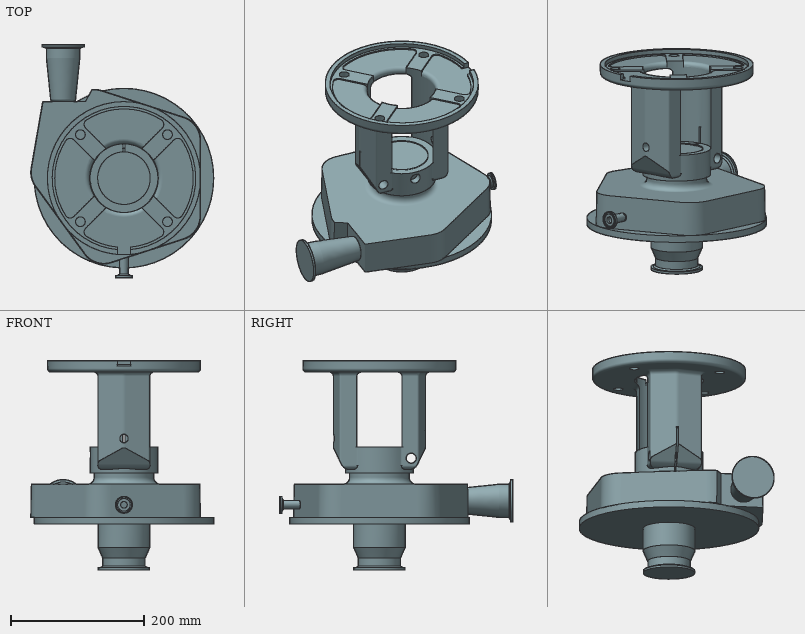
import cadquery as cq
import math

BASE_BOTTOM = 69.0
BASE_TOP = 79.0
HOUSING_TOP = 129.0
NECK_BLEND_TOP = 139.0
COLLAR_BOTTOM = 145.5
COLLAR_TOP = 185.2
FLANGE_BOTTOM = 297.5
TOTAL_HEIGHT = 314.5

MARGIN = 1.0

BASE_RADIUS = 135.0
HOUSING_APOTHEM = 115.0
HOUSING_DRAFT = 1.0
HOUSING_CORNER_RADIUS = 35.0
HOUSING_TOP_Y = 133.4
OUTLET_FACE_Y = 115.0
NOTCH_ROOT_X = -57.8
NOTCH_WALL_ANGLE = 62.0
OUTLET_CORNER_RADIUS = 2.0
OUTLET_WALL_TILT = 9.8

NECK_RADIUS = 45.0
COLLAR_RADIUS = 51.0
COLLAR_BORE_RADIUS = 39.5
LANTERN_BORE_RADIUS = 51.6
SHAFT_RECESS_DEPTH = 1.5
COLLAR_HOLE_RADIUS = 7.7
COLLAR_HOLE_Z = 173.3

LEG_HALF_WIDTH = 39.0
LEG_APEX_Y = 69.7
LEG_FACE_TILT = 15.0
LEG_RIDGE_RADIUS = 10.0
LEG_EDGE_RADIUS = 3.0
LEG_BOTTOM = 151.0
LEG_BOTTOM_RADIUS = 6.0
LEG_TOE_RADIUS = 14.0
LEG_SLOPE_TOP = 184.4
LEG_SLOPE_ANGLE = 64.0
LEG_BLEND_RADIUS = 6.5
COLLAR_BLEND_RADIUS = 3.0
RIDGE_HOLE_RADIUS = 6.3
RIDGE_HOLE_Z = 197.5
CLAMP_HOLE_RADIUS = 7.4
CLAMP_HOLE_Y = 47.7
CLAMP_HOLE_Z = 168.0
SLIT_WIDTH = 3.0
SLIT_TOP = 210.0

FLANGE_RADIUS = 115.0
FLANGE_EDGE_RADIUS = 5.0
SPIGOT_RADIUS = 107.8
SPIGOT_DEPTH = 6.0
POCKET_RADIUS = 104.0
POCKET_DEPTH = 2.0
POCKET_CORNER_RADIUS = 8.0
POCKET_LIP_RADIUS = 7.0
ARM_WIDTH = 25.0
BOLT_CIRCLE_RADIUS = 92.5
BOLT_HOLE_RADIUS = 7.3
FLANGE_NOTCH_WIDTH = 20.0
SPIGOT_FLOOR = TOTAL_HEIGHT - SPIGOT_DEPTH
POCKET_FLOOR = SPIGOT_FLOOR - POCKET_DEPTH

INLET_TUBE_RADIUS = 39.0
INLET_TUBE_BOTTOM = 34.0
INLET_CONE_BOTTOM = 18.0
INLET_PIPE_RADIUS = 32.0
INLET_FERRULE_RADIUS = 38.7

OUTLET_X = -91.4
OUTLET_Z = (BASE_TOP + HOUSING_TOP) / 2
OUTLET_END_Y = 200.5
OUTLET_CONE_END_Y = 180.0
OUTLET_CONE_START_Y = 119.5
OUTLET_PIPE_RADIUS = 25.2
OUTLET_NECK_RADIUS = 19.0
OUTLET_ROUND_RADIUS = 4.0
OUTLET_ROOT_OVERLAP = 5.0
OUTLET_FERRULE_RADIUS = 32.0

DRAIN_Z = 98.0
DRAIN_END_Y = -150.0
DRAIN_PIPE_RADIUS = 6.5
DRAIN_FERRULE_RADIUS = 12.8
DRAIN_BORE_RADIUS = 5.0
DRAIN_BORE_DEPTH = 40.0
DRAIN_ROOT_Y = -105.0
GROOVE_INNER_RADIUS = 9.5
GROOVE_OUTER_RADIUS = 11.5
GROOVE_DEPTH = 1.0

FERRULE_RIM = 3.5
FERRULE_LENGTH = 6.0
FERRULE_SHOULDER = 3.0
FERRULE_BACK_RISE = 0.5


def cylinder(radius, bottom, top):
    """Cylinder on the pump axis."""
    return cq.Workplane("XY").workplane(offset=bottom).circle(radius).extrude(top - bottom)


def ferrule(pipe_radius, ferrule_radius, root_points, root_end):
    """Revolved pipe stub along +Z with a clamp ferrule whose face is at zero.

    root_points are (radius, distance) pairs continuing the outside beyond the ferrule.
    """
    outside = [
        (ferrule_radius, 0),
        (ferrule_radius, FERRULE_RIM),
        (pipe_radius + FERRULE_SHOULDER, FERRULE_RIM + FERRULE_BACK_RISE),
        (pipe_radius, FERRULE_LENGTH),
    ]
    profile = [(0, 0)] + outside + root_points + [(0, root_end)]
    return cq.Workplane("XZ").polyline(profile).close().revolve(360, (0, 0, 0), (0, 1, 0))


def pentagon_corner(angle):
    reach = HOUSING_APOTHEM / math.cos(math.radians(36))
    return (reach * math.cos(math.radians(angle)), reach * math.sin(math.radians(angle)))


def make_base():
    return cylinder(BASE_RADIUS, BASE_BOTTOM, BASE_TOP)


def round_upright_edge(housing, x, y, radius):
    """Round the upright housing edge that stands closest to a plan position."""
    nearest = cq.selectors.NearestToPointSelector((x, y, (BASE_TOP + HOUSING_TOP) / 2))
    return housing.edges("not(#Z)").edges(nearest).fillet(radius)


def make_housing():
    """Drafted pentagon, squared off at the upper left and notched there for the outlet."""
    left = pentagon_corner(180)
    wall_slope = math.tan(math.radians(OUTLET_WALL_TILT))
    apex = pentagon_corner(108)
    side_run = (apex[1] - HOUSING_TOP_Y) / math.tan(math.radians(18))
    rounded_corners = [
        (apex[0] + side_run, HOUSING_TOP_Y),
        pentagon_corner(36),
        pentagon_corner(-36),
        pentagon_corner(-108),
        left,
    ]
    square_corner = (left[0] + HOUSING_TOP_Y * wall_slope, HOUSING_TOP_Y)
    housing = (
        cq.Workplane("XY").workplane(offset=BASE_TOP)
        .polyline([square_corner] + rounded_corners).close()
        .extrude(HOUSING_TOP - BASE_TOP, taper=HOUSING_DRAFT)
    )
    for x, y in rounded_corners:
        housing = round_upright_edge(housing, x, y, HOUSING_CORNER_RADIUS)

    notch_height = BASE_RADIUS - OUTLET_FACE_Y
    notch_run = notch_height / math.tan(math.radians(NOTCH_WALL_ANGLE))
    notch = (
        cq.Workplane("XY").workplane(offset=BASE_TOP)
        .polyline([
            (-BASE_RADIUS, OUTLET_FACE_Y), (NOTCH_ROOT_X, OUTLET_FACE_Y),
            (NOTCH_ROOT_X + notch_run, BASE_RADIUS), (-BASE_RADIUS, BASE_RADIUS),
        ])
        .close().extrude(HOUSING_TOP - BASE_TOP)
    )
    wall_x = left[0] + OUTLET_FACE_Y * wall_slope
    return round_upright_edge(housing.cut(notch), wall_x, OUTLET_FACE_Y, OUTLET_CORNER_RADIUS)


def make_neck():
    blend = NECK_BLEND_TOP - HOUSING_TOP
    middle = blend * (1 - math.sqrt(0.5))
    profile = (
        cq.Workplane("XZ")
        .moveTo(0, HOUSING_TOP)
        .lineTo(NECK_RADIUS + blend, HOUSING_TOP)
        .threePointArc((NECK_RADIUS + middle, HOUSING_TOP + middle), (NECK_RADIUS, NECK_BLEND_TOP))
        .lineTo(NECK_RADIUS, COLLAR_BOTTOM)
        .lineTo(0, COLLAR_BOTTOM)
        .close()
    )
    return profile.revolve(360, (0, 0, 0), (0, 1, 0))


def make_leg_block():
    """Solid bar spanning both legs; the lantern bore later splits it into two legs."""
    side_y = LEG_APEX_Y - LEG_HALF_WIDTH * math.tan(math.radians(LEG_FACE_TILT))
    block = (
        cq.Workplane("XY").workplane(offset=LEG_BOTTOM)
        .polyline([
            (-LEG_HALF_WIDTH, -side_y), (0, -LEG_APEX_Y), (LEG_HALF_WIDTH, -side_y),
            (LEG_HALF_WIDTH, side_y), (0, LEG_APEX_Y), (-LEG_HALF_WIDTH, side_y),
        ])
        .close().extrude(FLANGE_BOTTOM - LEG_BOTTOM)
    )
    block = block.edges("|Z").edges(">Y or <Y").fillet(LEG_RIDGE_RADIUS)
    block = block.edges("|Z").edges(">X or <X").fillet(LEG_EDGE_RADIUS)
    toe_y = LEG_APEX_Y - (LEG_SLOPE_TOP - LEG_BOTTOM) / math.tan(math.radians(LEG_SLOPE_ANGLE))
    side_shape = (
        cq.Workplane("YZ")
        .polyline([
            (-toe_y, LEG_BOTTOM), (toe_y, LEG_BOTTOM), (LEG_APEX_Y, LEG_SLOPE_TOP),
            (LEG_APEX_Y, FLANGE_BOTTOM), (-LEG_APEX_Y, FLANGE_BOTTOM), (-LEG_APEX_Y, LEG_SLOPE_TOP),
        ])
        .close().extrude(LEG_HALF_WIDTH, both=True)
        .faces("<Z").edges("|X").fillet(LEG_TOE_RADIUS)
    )
    front_shape = (
        cq.Workplane("XZ")
        .rect(2 * LEG_HALF_WIDTH, 2 * (FLANGE_BOTTOM - LEG_BOTTOM))
        .extrude(LEG_APEX_Y, both=True).translate((0, 0, FLANGE_BOTTOM))
        .faces("<Z").edges("|Y").fillet(LEG_BOTTOM_RADIUS)
    )
    return block.intersect(side_shape).intersect(front_shape)


def make_collar_blend():
    """Rounded inside corners where the leg sides run into the collar."""
    bottom = LEG_BOTTOM + LEG_BOTTOM_RADIUS
    height = COLLAR_TOP - bottom
    bar = cq.Workplane("XY").box(
        2 * LEG_HALF_WIDTH, 2 * CLAMP_HOLE_Y, height, centered=(True, True, False)
    ).translate((0, 0, bottom))
    joined = cylinder(COLLAR_RADIUS, bottom, COLLAR_TOP).union(bar)
    reach = LEG_HALF_WIDTH + MARGIN
    inside_corners = cq.selectors.BoxSelector((-reach, -reach, bottom), (reach, reach, COLLAR_TOP))
    corner_edges = joined.edges("|Z").edges(inside_corners)
    return corner_edges.fillet(COLLAR_BLEND_RADIUS)


def make_lantern():
    """Motor flange with the leg block blended into its underside."""
    flange = cylinder(FLANGE_RADIUS, FLANGE_BOTTOM, TOTAL_HEIGHT)
    flange = flange.faces("<Z").edges().fillet(FLANGE_EDGE_RADIUS)
    lantern = flange.union(make_leg_block())
    reach = LEG_APEX_Y + MARGIN
    near_legs = cq.selectors.BoxSelector(
        (-reach, -reach, FLANGE_BOTTOM - MARGIN), (reach, reach, FLANGE_BOTTOM + MARGIN))
    lantern = lantern.edges(near_legs).fillet(LEG_BLEND_RADIUS)
    collar = cylinder(COLLAR_RADIUS, COLLAR_BOTTOM, COLLAR_TOP)
    lantern = lantern.union(collar)
    lantern = lantern.union(make_collar_blend())
    return lantern.cut(cylinder(LANTERN_BORE_RADIUS, COLLAR_TOP, TOTAL_HEIGHT))


def sector_prism(bottom, top):
    """Region between the two flange arms on the +Y side, out to the pocket radius."""
    apex = ARM_WIDTH / 2 * math.sqrt(2)
    far_y = apex + POCKET_RADIUS
    wedge = (
        cq.Workplane("XY").workplane(offset=bottom)
        .polyline([(0, apex), (POCKET_RADIUS, far_y), (-POCKET_RADIUS, far_y)])
        .close().extrude(top - bottom)
    )
    return wedge.intersect(cylinder(POCKET_RADIUS, bottom, top))


def cut_flange_top(body):
    body = body.cut(cylinder(SPIGOT_RADIUS, SPIGOT_FLOOR, TOTAL_HEIGHT))
    lip_bottom = POCKET_FLOOR - POCKET_LIP_RADIUS
    lip_outer = LANTERN_BORE_RADIUS + POCKET_LIP_RADIUS
    arc_offset = POCKET_LIP_RADIUS * math.sqrt(0.5)
    lip = (
        cq.Workplane("XZ")
        .moveTo(0, lip_bottom)
        .lineTo(LANTERN_BORE_RADIUS, lip_bottom)
        .threePointArc((lip_outer - arc_offset, lip_bottom + arc_offset), (lip_outer, POCKET_FLOOR))
        .lineTo(0, POCKET_FLOOR)
        .close().revolve(360, (0, 0, 0), (0, 1, 0))
    )
    pocket = sector_prism(POCKET_FLOOR, SPIGOT_FLOOR)
    pocket = pocket.edges("|Z").edges(">X or <X").fillet(POCKET_CORNER_RADIUS)
    pocket = pocket.union(lip.intersect(sector_prism(lip_bottom, POCKET_FLOOR)))
    for turn in (0, 90, 180, 270):
        body = body.cut(pocket.rotate((0, 0, 0), (0, 0, 1), turn))
    bolt_holes = (
        cq.Workplane("XY").workplane(offset=FLANGE_BOTTOM)
        .polarArray(BOLT_CIRCLE_RADIUS, 45, 360, 4)
        .circle(BOLT_HOLE_RADIUS).extrude(TOTAL_HEIGHT - FLANGE_BOTTOM)
    )
    notch_length = FLANGE_RADIUS - POCKET_RADIUS + MARGIN
    notch = cq.Workplane("XY").box(
        FLANGE_NOTCH_WIDTH, notch_length, TOTAL_HEIGHT - POCKET_FLOOR, centered=(True, False, False)
    ).translate((0, -FLANGE_RADIUS, POCKET_FLOOR))
    return body.cut(bolt_holes).cut(notch)


def cut_collar_and_legs(body):
    body = body.cut(cylinder(COLLAR_BORE_RADIUS, COLLAR_TOP - SHAFT_RECESS_DEPTH, COLLAR_TOP))
    slit = cq.Workplane("XY").box(
        SLIT_WIDTH, LEG_APEX_Y - COLLAR_BORE_RADIUS, SLIT_TOP - COLLAR_BOTTOM,
        centered=(True, False, False),
    ).translate((0, COLLAR_BORE_RADIUS, COLLAR_BOTTOM))
    ridge_hole = (
        cq.Workplane("XZ").center(0, RIDGE_HOLE_Z).circle(RIDGE_HOLE_RADIUS).extrude(LEG_APEX_Y)
    )
    clamp_hole = (
        cq.Workplane("YZ").center(CLAMP_HOLE_Y, CLAMP_HOLE_Z)
        .circle(CLAMP_HOLE_RADIUS).extrude(LEG_HALF_WIDTH + MARGIN, both=True)
    )
    collar_hole = (
        cq.Workplane("YZ").workplane(offset=-COLLAR_RADIUS).center(0, COLLAR_HOLE_Z)
        .circle(COLLAR_HOLE_RADIUS).extrude(COLLAR_RADIUS - COLLAR_BORE_RADIUS)
    )
    return body.cut(slit).cut(ridge_hole).cut(clamp_hole).cut(collar_hole)


def make_inlet():
    outside = [
        (INLET_PIPE_RADIUS, INLET_CONE_BOTTOM),
        (INLET_TUBE_RADIUS, INLET_TUBE_BOTTOM),
        (INLET_TUBE_RADIUS, BASE_BOTTOM),
    ]
    return ferrule(INLET_PIPE_RADIUS, INLET_FERRULE_RADIUS, outside, BASE_BOTTOM)


def make_outlet():
    tip = OUTLET_END_Y - OUTLET_FACE_Y
    outside = [
        (OUTLET_PIPE_RADIUS, OUTLET_END_Y - OUTLET_CONE_END_Y),
        (OUTLET_NECK_RADIUS, OUTLET_END_Y - OUTLET_CONE_START_Y),
        (OUTLET_NECK_RADIUS, tip),
    ]
    nozzle = ferrule(OUTLET_PIPE_RADIUS, OUTLET_FERRULE_RADIUS, outside, tip)
    nozzle = nozzle.faces(">Z").edges().fillet(OUTLET_ROUND_RADIUS)
    root_radius = OUTLET_NECK_RADIUS - OUTLET_ROUND_RADIUS
    root = cq.Workplane("XY").circle(root_radius).extrude(tip + OUTLET_ROOT_OVERLAP)
    nozzle = nozzle.union(root)
    return nozzle.rotate((0, 0, 0), (1, 0, 0), 90).translate((OUTLET_X, OUTLET_END_Y, OUTLET_Z))


def make_drain():
    length = DRAIN_ROOT_Y - DRAIN_END_Y
    drain = ferrule(DRAIN_PIPE_RADIUS, DRAIN_FERRULE_RADIUS, [(DRAIN_PIPE_RADIUS, length)], length)
    bore = cq.Workplane("XY").circle(DRAIN_BORE_RADIUS).extrude(DRAIN_BORE_DEPTH)
    groove = (
        cq.Workplane("XY").circle(GROOVE_OUTER_RADIUS).circle(GROOVE_INNER_RADIUS)
        .extrude(GROOVE_DEPTH)
    )
    drain = drain.cut(bore).cut(groove)
    return drain.rotate((0, 0, 0), (1, 0, 0), -90).translate((0, DRAIN_END_Y, DRAIN_Z))


result = make_base().union(make_housing()).union(make_neck())
lantern = cut_collar_and_legs(cut_flange_top(make_lantern()))
result = result.union(lantern).union(make_inlet()).union(make_outlet()).union(make_drain())